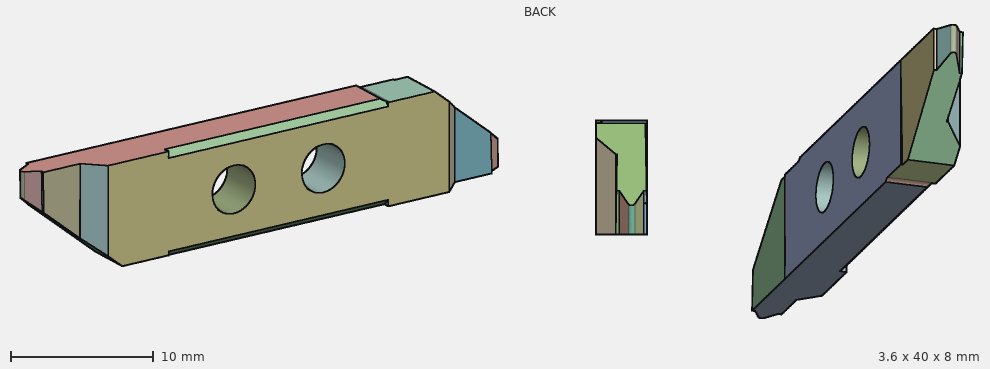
import cadquery as cq
import math

length = 40.0
height = 8.0
thickness = 3.6
half_length = length / 2
half_height = height / 2

relief_depth = 0.2
relief_radius = 0.7
relief_end = 9.35
relief_arc_angle = math.acos(1 - relief_depth / relief_radius)
relief_start = relief_end - relief_radius * math.sin(relief_arc_angle)
slope_start = 13.1
slope_angle = 40.0
slope_drop = (half_length - slope_start) * math.tan(math.radians(slope_angle))

chamfer_half_length = 9.2
edge_chamfer = 0.5

hole_diameter = 3.6
hole_spacing = 7.5

blade_width = 2.2
blade_root = 12.0
ramp_start = 14.3
ramp_end = ramp_start + thickness - blade_width

tip_length = 1.2
tip_half_angle = math.radians(30.0)
nose_radius = 0.28
clearance_angle = math.radians(1.0)


def middle_bar():
    """Middle of the insert, with its two +X edges chamfered at 45 degrees."""
    bar = cq.Workplane("XY").box(thickness, 2 * chamfer_half_length, height)
    return bar.edges("|Y and >X").chamfer(edge_chamfer).translate((thickness / 2, 0, 0))


def blade_level(workplane, inset):
    """Add the blade outline to a workplane, its free edges moved inward by inset."""
    center = blade_width / 2
    half_width = center - inset
    shoulder_y = half_length - tip_length - inset
    nose_y = half_length - inset
    nose_half_width = nose_radius * math.cos(tip_half_angle)
    nose_base_y = nose_y - nose_radius * (1 - math.sin(tip_half_angle))
    tip_half_width = nose_half_width + (nose_base_y - shoulder_y) * math.tan(tip_half_angle)
    return (
        workplane.moveTo(center - half_width, blade_root)
        .lineTo(center - half_width, shoulder_y)
        .lineTo(center - tip_half_width, shoulder_y)
        .lineTo(center - nose_half_width, nose_base_y)
        .threePointArc((center, nose_y), (center + nose_half_width, nose_base_y))
        .lineTo(center + tip_half_width, shoulder_y)
        .lineTo(center + half_width, shoulder_y)
        .lineTo(center + half_width, blade_root)
        .close()
    )


def blade():
    """Blade at the +Y end: full size at the bottom cutting edge, narrower towards the top."""
    bottom = blade_level(cq.Workplane("XY").workplane(offset=-half_height), 0)
    top = blade_level(bottom.workplane(offset=height), height * math.tan(clearance_angle))
    return top.loft(ruled=True)


def end_pad():
    """Full-thickness pad between the chamfered middle and the blade at the +Y end."""
    center = blade_width / 2
    outline = [
        (0, chamfer_half_length),
        (thickness, chamfer_half_length),
        (thickness, ramp_start),
        (blade_width, ramp_end),
        (center, ramp_end),
        (center, blade_root),
        (0, blade_root),
    ]
    return (
        cq.Workplane("XY")
        .workplane(offset=-half_height)
        .polyline(outline)
        .close()
        .extrude(height)
    )


def add_long_edge(workplane, side):
    """Add one long edge and its slope to the outline: side is 1 for the top, -1 for the bottom."""
    relief_z = half_height - relief_depth
    arc_y = relief_end - relief_radius * math.sin(relief_arc_angle / 2)
    arc_z = relief_z + relief_radius * (1 - math.cos(relief_arc_angle / 2))
    return (
        workplane.lineTo(side * relief_start, side * half_height)
        .threePointArc((side * arc_y, side * arc_z), (side * relief_end, side * relief_z))
        .lineTo(side * slope_start, side * relief_z)
        .lineTo(side * half_length, side * (relief_z - slope_drop))
    )


def side_envelope():
    """Side outline of the insert, extruded across the thickness."""
    outline = cq.Workplane("YZ").moveTo(-half_length, half_height)
    outline = add_long_edge(outline, 1).lineTo(half_length, -half_height)
    outline = add_long_edge(outline, -1)
    return outline.close().extrude(thickness)


def holes():
    """Two round holes through the thickness."""
    return (
        cq.Workplane("YZ")
        .pushPoints([(-hole_spacing / 2, 0), (hole_spacing / 2, 0)])
        .circle(hole_diameter / 2)
        .extrude(thickness)
    )


far_end = end_pad().union(blade())
near_end = far_end.rotate((0, 0, 0), (1, 0, 0), 180)
blank = middle_bar().union(far_end).union(near_end)
result = blank.intersect(side_envelope()).cut(holes())